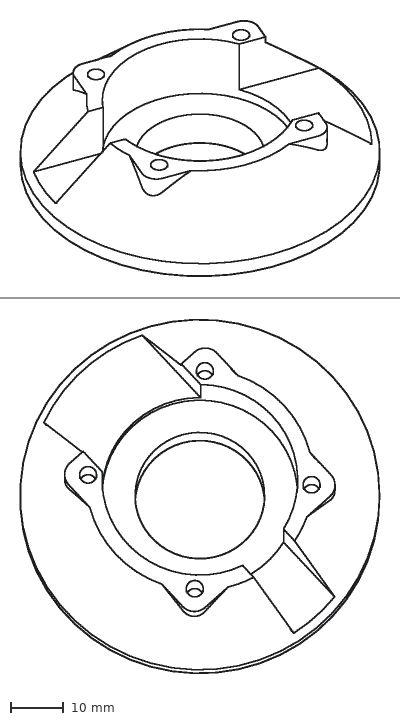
import cadquery as cq

rim_diameter = 68.0
rim_height = 3.05

body_top_diameter = 43.0
body_height = 12.5
top_z = rim_height + body_height

foot_height = 4.6
foot_top_diameter = 44.2
foot_bottom_diameter = 48.55

bore_diameter = 24.5
pocket_diameter = 37.0
pocket_floor_z = 2.4

slot_floor_z = 4.55
front_slot_width = 10.5
back_slot_width = 25.15

ear_square = 37.95
ear_corner_radius = 3.0
ear_height = 6.8
screw_hole_diameter = 3.2
screw_hole_depth = 6.8
screw_spacing = 29.9


def make_body():
    """Foot, rim and cone as one turned profile."""
    rim_radius = rim_diameter / 2
    profile = [
        (0, -foot_height),
        (foot_bottom_diameter / 2, -foot_height),
        (foot_top_diameter / 2, 0),
        (rim_radius, 0),
        (rim_radius, rim_height),
        (body_top_diameter / 2, top_z),
        (0, top_z),
    ]
    return cq.Workplane("XZ").polyline(profile).close().revolve(360, (0, 0), (0, 1))


def make_ears():
    """Rounded square whose corners form the four screw ears."""
    return (
        cq.Workplane("XY", origin=(0, 0, top_z - ear_height))
        .rect(ear_square, ear_square)
        .extrude(ear_height)
        .edges("|Z")
        .fillet(ear_corner_radius)
    )


def make_slot(width, direction):
    """Cutter from the axis outward along Y; direction is +1 or -1."""
    length = rim_diameter / 2
    return (
        cq.Workplane("XY", origin=(0, direction * length / 2, slot_floor_z))
        .rect(width, length)
        .extrude(top_z - slot_floor_z)
    )


def make_round_cutter(diameter, floor_z):
    """Vertical cylinder from floor_z up to the top face."""
    return cq.Workplane("XY", origin=(0, 0, floor_z)).circle(diameter / 2).extrude(top_z - floor_z)


def make_screw_holes():
    """Four blind holes, one in each ear."""
    return (
        cq.Workplane("XY", origin=(0, 0, top_z - screw_hole_depth))
        .rect(screw_spacing, screw_spacing, forConstruction=True)
        .vertices()
        .circle(screw_hole_diameter / 2)
        .extrude(screw_hole_depth)
    )


result = (
    make_body()
    .union(make_ears())
    .cut(make_round_cutter(pocket_diameter, pocket_floor_z))
    .cut(make_round_cutter(bore_diameter, -foot_height))
    .cut(make_slot(front_slot_width, -1))
    .cut(make_slot(back_slot_width, 1))
    .cut(make_screw_holes())
)